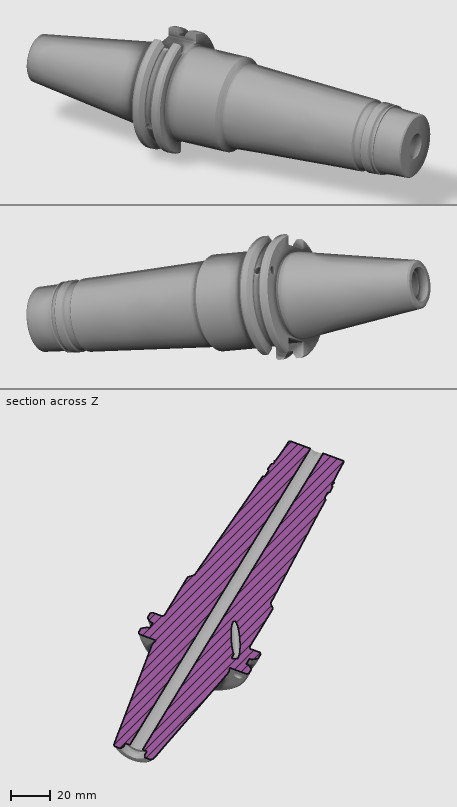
import cadquery as cq
import math

total_length = 218.2

gauge_x = 67.9
gauge_radius = 22.3
taper_rate = 7 / 24 / 2
tip_chamfer = 0.9
relief_start_x = 69.8
relief_wall_run = 0.7
relief_radius = 21.8

flange_start_x = 71.4
flange_end_x = 87.3
flange_diameter = 63.5
flange_radius = flange_diameter / 2
flange_chamfer = 0.9
flange_chamfer_run = 1.0
v_groove_x = 79.2
v_groove_opening = 7.5
v_groove_floor_width = 3.5
v_groove_floor_radius = 28.0
v_wall_depth = 2.6

body_diameter = 49.5
body_radius = body_diameter / 2
collar_radius = 25.5
collar_end_x = 88.2
body_chamfer_x = 115.9
body_chamfer = 2.0
sleeve_start_x = 118.7
sleeve_start_radius = 22.3
sleeve_end_radius = 17.5
sleeve_recess = 0.9
nose_chamfer = 0.7
wide_groove_x = 191.5
wide_groove_width = 5.2
narrow_groove_x = 200.5
narrow_groove_width = 2.2
ridge_width = 0.7
groove_wall_run = 0.7

bore_diameter = 13.3
counterbore_diameter = 16.4
counterbore_depth = 4.1
mouth_diameter = 17.7
mouth_depth = 2.0

slot_width = 16.2
slot_corner_radius = 0.7
top_slot_floor = 25.0
bottom_slot_floor = 22.7
bottom_slot_flat_end_x = 90.5
slot_runout_angle = 20
dimple_diameter = 9.5
dimple_depth = 2.8

coolant_angles = (-70, 110)
coolant_diameter = 4.1
coolant_radius = 26.8
coolant_tilt = 30
screw_hole_diameter = 4.0
screw_hole_floor_radius = 19.6


def taper_radius(x):
    return gauge_radius - taper_rate * (gauge_x - x)


def sleeve_radius(x):
    slope = (sleeve_end_radius - sleeve_start_radius) / (total_length - sleeve_start_x)
    return sleeve_start_radius + slope * (x - sleeve_start_x)


def revolve_profile(points):
    return cq.Workplane("XY").polyline(points).close().revolve(360, (0, 0, 0), (1, 0, 0))


def shank():
    return revolve_profile([
        (0, 0),
        (0, taper_radius(0) - tip_chamfer),
        (tip_chamfer, taper_radius(tip_chamfer)),
        (gauge_x, gauge_radius),
        (relief_start_x, gauge_radius),
        (relief_start_x + relief_wall_run, relief_radius),
        (flange_start_x, relief_radius),
        (flange_start_x, 0),
    ])


def flange():
    wall_radius = flange_radius - v_wall_depth
    front_lip = v_groove_x - v_groove_opening / 2
    back_lip = v_groove_x + v_groove_opening / 2
    front_floor = v_groove_x - v_groove_floor_width / 2
    back_floor = v_groove_x + v_groove_floor_width / 2
    return revolve_profile([
        (flange_start_x, 0),
        (flange_start_x, flange_radius - flange_chamfer),
        (flange_start_x + flange_chamfer_run, flange_radius),
        (front_lip, flange_radius),
        (front_floor, wall_radius),
        (front_floor, v_groove_floor_radius),
        (back_floor, v_groove_floor_radius),
        (back_floor, wall_radius),
        (back_lip, flange_radius),
        (flange_end_x - flange_chamfer_run, flange_radius),
        (flange_end_x, flange_radius - flange_chamfer),
        (flange_end_x, 0),
    ])


def body():
    chamfer_end_x = body_chamfer_x + body_chamfer
    return revolve_profile([
        (flange_end_x, 0),
        (flange_end_x, collar_radius),
        (collar_end_x, body_radius),
        (body_chamfer_x, body_radius),
        (chamfer_end_x, body_radius - body_chamfer),
        (sleeve_start_x, sleeve_start_radius),
        (sleeve_start_x, 0),
    ])


def sleeve():
    wide_groove_end_x = wide_groove_x + wide_groove_width
    ridge_x = narrow_groove_x + narrow_groove_width
    nose_x = ridge_x + ridge_width
    nose_chamfer_x = total_length - nose_chamfer

    def recessed(x):
        return (x, sleeve_radius(x) - sleeve_recess)

    def full(x):
        return (x, sleeve_radius(x))

    return revolve_profile([
        (sleeve_start_x, 0),
        full(sleeve_start_x),
        full(wide_groove_x),
        recessed(wide_groove_x + groove_wall_run),
        recessed(wide_groove_end_x - groove_wall_run),
        full(wide_groove_end_x),
        full(narrow_groove_x),
        recessed(narrow_groove_x + groove_wall_run),
        recessed(ridge_x),
        full(ridge_x),
        full(nose_x),
        recessed(nose_x),
        recessed(nose_chamfer_x),
        (total_length, sleeve_radius(nose_chamfer_x) - sleeve_recess - nose_chamfer),
        (total_length, 0),
    ])


def bore():
    return revolve_profile([
        (0, 0),
        (0, mouth_diameter / 2),
        (mouth_depth, counterbore_diameter / 2),
        (counterbore_depth, counterbore_diameter / 2),
        (counterbore_depth, bore_diameter / 2),
        (total_length, bore_diameter / 2),
        (total_length, 0),
    ])


def top_slot():
    length = flange_end_x - flange_start_x
    slot = cq.Workplane("XY").box(length, slot_width, flange_radius, centered=(False, True, False))
    slot = slot.edges("|X and <Z").fillet(slot_corner_radius)
    slot = slot.translate((flange_start_x, 0, top_slot_floor))
    dimple_centre = cq.Vector(v_groove_x, 0, top_slot_floor)
    dimple = cq.Solid.makeCone(dimple_diameter / 2, 0, dimple_depth, dimple_centre, cq.Vector(0, 0, -1))
    return slot.union(cq.Workplane(dimple))


def bottom_slot():
    runout_drop = flange_radius - bottom_slot_floor
    runout_end_x = bottom_slot_flat_end_x + runout_drop / math.tan(math.radians(slot_runout_angle))
    return (
        cq.Workplane("XZ")
        .polyline([
            (flange_start_x, -bottom_slot_floor),
            (bottom_slot_flat_end_x, -bottom_slot_floor),
            (runout_end_x, -flange_radius),
            (flange_start_x, -flange_radius),
        ])
        .close()
        .extrude(slot_width / 2, both=True)
    )


def coolant_channel():
    """Channel above the axis, leaning in from the flange face to the bore, with its screw hole."""
    tilt = math.radians(coolant_tilt)
    direction = cq.Vector(math.cos(tilt), 0, -math.sin(tilt))
    mouth = cq.Vector(flange_start_x, 0, coolant_radius)
    lead_in = coolant_diameter
    length = coolant_radius / math.sin(tilt) + lead_in
    channel = cq.Solid.makeCylinder(coolant_diameter / 2, length, mouth - direction * lead_in, direction)
    screw_hole = cq.Solid.makeCylinder(
        screw_hole_diameter / 2,
        v_groove_floor_radius + v_wall_depth - screw_hole_floor_radius,
        cq.Vector(v_groove_x, 0, screw_hole_floor_radius),
        cq.Vector(0, 0, 1),
    )
    return cq.Workplane(channel).union(cq.Workplane(screw_hole))


result = shank().union(flange()).union(body()).union(sleeve())
result = result.cut(bore()).cut(top_slot()).cut(bottom_slot())
for angle in coolant_angles:
    result = result.cut(coolant_channel().rotate((0, 0, 0), (1, 0, 0), angle))